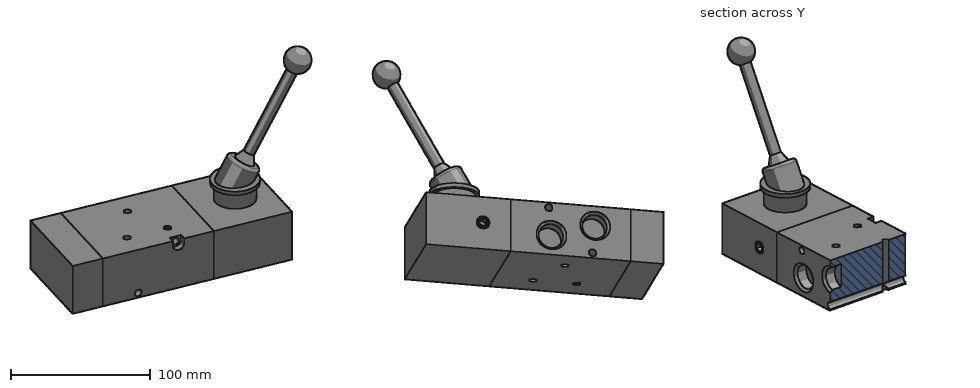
import cadquery as cq
import math

WIDTH = 70.0
HEIGHT = 40.0
CAP_LENGTH = 24.0
VALVE_LENGTH = 88.0
HEAD_LENGTH = 62.0
VALVE_START = CAP_LENGTH
HEAD_START = VALVE_START + VALVE_LENGTH
LEFT_FACE = -WIDTH / 2
RIGHT_FACE = WIDTH / 2
MID_Z = HEIGHT / 2

VALVE_MID_Y = VALVE_START + VALVE_LENGTH / 2
BOLT_DIAMETER = 5.3
BOLT_HALF_PITCH = 16.0
CROSS_BOLT_OFFSET_Z = 16.0
MOUNT_OFFSET_X = 16.5

PORT_DIAMETER = 18.0
PORT_MOUTH_DIAMETER = 22.0
PORT_DEPTH = 10.0
PORT_CHAMFER = (PORT_MOUTH_DIAMETER - PORT_DIAMETER) / 2
PORT_HALF_PITCH = 16.0
PORT_MID_Y = 66.0
PORT_OFFSET_Z = 5.0

NOTCH_WIDTH = 8.8
NOTCH_DEPTH = 5.3

SCREW_Y = 132.1
SCREW_Z = 20.5
SCREW_DIAMETER = 8.0
SCREW_BORE_DIAMETER = 9.2
SCREW_GAP_DEPTH = 1.0
SOCKET_SIDES = 6
SOCKET_ACROSS_FLATS = 5.3
SOCKET_DEPTH = 5.0

POST_Y = 145.5
POST_DIAMETER = 30.8
POST_HEIGHT = 13.0
FLANGE_DIAMETER = 36.0
FLANGE_THICKNESS = 3.0
PIVOT_Z = HEIGHT + POST_HEIGHT + FLANGE_THICKNESS

LEVER_TILT = 30
SLEEVE_DIAMETER = 25.6
SLEEVE_TOP = 15.0
SLEEVE_FILLET = 2.3
SLEEVE_BURIED = 8.0
CONE_BASE_DIAMETER = 15.4
CONE_TOP = 22.2
ROD_DIAMETER = 8.5
BALL_DIAMETER = 20.1
BALL_DISTANCE = 99.3


def make_block(start, length):
    """Plain block of the row, standing on Z = 0 and reaching from start towards +Y."""
    base = cq.Workplane("XY", origin=(0, start, 0))
    return base.box(WIDTH, length, HEIGHT, centered=(True, False, False))


def left_face_plane(y, z):
    """Sketch plane on the left face: local X along +Y, local Y along +Z, normal into the block."""
    return cq.Workplane(cq.Plane(origin=(LEFT_FACE, y, z), xDir=(0, 1, 0), normal=(1, 0, 0)))


def make_port(y, z):
    """Blind round port with a chamfered mouth."""
    bore = left_face_plane(y, z).circle(PORT_DIAMETER / 2).extrude(PORT_DEPTH)
    mouth = cq.Solid.makeCone(
        PORT_MOUTH_DIAMETER / 2,
        PORT_DIAMETER / 2,
        PORT_CHAMFER,
        cq.Vector(LEFT_FACE, y, z),
        cq.Vector(1, 0, 0),
    )
    return bore.union(cq.Workplane(mouth))


def make_notch(y, z):
    """Notch with a half-round bottom about the bolt hole and straight walls up to the top face."""
    plane = cq.Plane(origin=(RIGHT_FACE - NOTCH_DEPTH, y, z), xDir=(0, 1, 0), normal=(1, 0, 0))
    half_width = NOTCH_WIDTH / 2
    rise = HEIGHT - z
    return (
        cq.Workplane(plane)
        .moveTo(-half_width, rise)
        .lineTo(-half_width, 0)
        .threePointArc((0, -half_width), (half_width, 0))
        .lineTo(half_width, rise)
        .close()
        .extrude(NOTCH_DEPTH)
    )


def make_valve_body():
    body = make_block(VALVE_START, VALVE_LENGTH)
    near_y = VALVE_MID_Y - BOLT_HALF_PITCH
    far_y = VALVE_MID_Y + BOLT_HALF_PITCH
    upper_z = MID_Z + CROSS_BOLT_OFFSET_Z
    lower_z = MID_Z - CROSS_BOLT_OFFSET_Z

    mount_points = [
        (MOUNT_OFFSET_X, near_y),
        (MOUNT_OFFSET_X, far_y),
        (-MOUNT_OFFSET_X, VALVE_MID_Y),
    ]
    body = body.cut(cq.Workplane("XY").pushPoints(mount_points).circle(BOLT_DIAMETER / 2).extrude(HEIGHT))

    for y, z in [(near_y, lower_z), (far_y, upper_z)]:
        body = body.cut(left_face_plane(y, z).circle(BOLT_DIAMETER / 2).extrude(WIDTH))

    for side in (-1, 1):
        body = body.cut(make_port(PORT_MID_Y + side * PORT_HALF_PITCH, MID_Z - side * PORT_OFFSET_Z))

    return body.cut(make_notch(far_y, upper_z))


def cut_set_screw(head):
    """Annular gap around the flush screw, and its hexagon socket with two upright flats."""
    face = left_face_plane(SCREW_Y, SCREW_Z)
    gap = face.circle(SCREW_BORE_DIAMETER / 2).circle(SCREW_DIAMETER / 2).extrude(SCREW_GAP_DEPTH)
    half_side_angle = 180 / SOCKET_SIDES
    across_corners = SOCKET_ACROSS_FLATS / math.cos(math.radians(half_side_angle))
    turned_face = face.transformed(rotate=(0, 0, half_side_angle))
    socket = turned_face.polygon(SOCKET_SIDES, across_corners).extrude(SOCKET_DEPTH)
    return head.cut(gap).cut(socket)


def make_collar():
    post = cq.Workplane("XY", origin=(0, POST_Y, HEIGHT)).circle(POST_DIAMETER / 2).extrude(POST_HEIGHT)
    return post.faces(">Z").workplane().circle(FLANGE_DIAMETER / 2).extrude(FLANGE_THICKNESS)


def make_lever():
    """Sleeve, cone, rod and ball built upright on the pivot, then tilted towards +Y."""
    sleeve = (
        cq.Workplane("XY", origin=(0, 0, -SLEEVE_BURIED))
        .circle(SLEEVE_DIAMETER / 2)
        .extrude(SLEEVE_BURIED + SLEEVE_TOP)
        .faces(">Z")
        .edges()
        .fillet(SLEEVE_FILLET)
    )
    cone = cq.Solid.makeCone(
        CONE_BASE_DIAMETER / 2,
        ROD_DIAMETER / 2,
        CONE_TOP - SLEEVE_TOP,
        cq.Vector(0, 0, SLEEVE_TOP),
    )
    rod_length = BALL_DISTANCE - CONE_TOP
    rod = cq.Workplane("XY", origin=(0, 0, CONE_TOP)).circle(ROD_DIAMETER / 2).extrude(rod_length)
    ball = cq.Workplane("XY", origin=(0, 0, BALL_DISTANCE)).sphere(BALL_DIAMETER / 2)
    lever = sleeve.union(cq.Workplane(cone)).union(rod).union(ball)
    return lever.rotate((0, 0, 0), (1, 0, 0), -LEVER_TILT).translate((0, POST_Y, PIVOT_Z))


def make_lever_head():
    head = cut_set_screw(make_block(HEAD_START, HEAD_LENGTH))
    return head.union(make_collar()).union(make_lever())


end_cap = make_block(0, CAP_LENGTH)
valve_body = make_valve_body()
lever_head = make_lever_head()

result = cq.Compound.makeCompound([end_cap.val(), valve_body.val(), lever_head.val()])